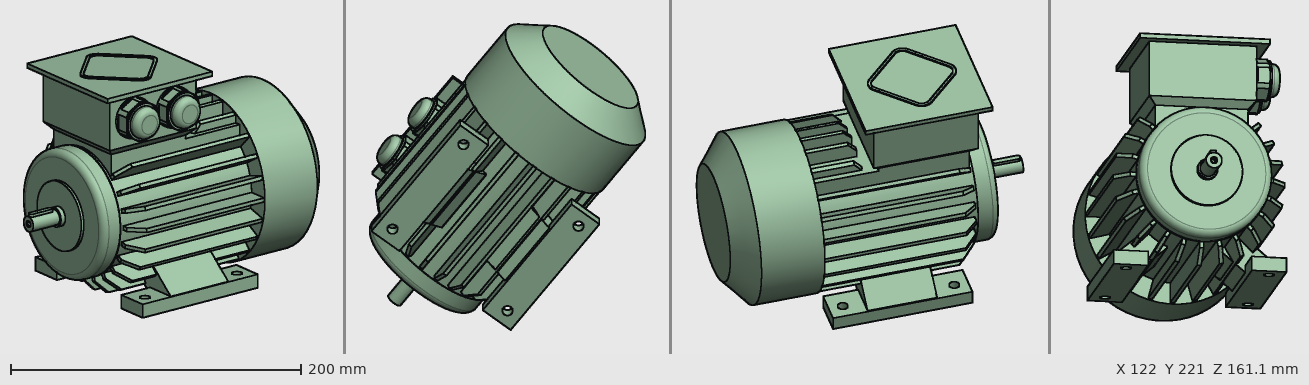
import cadquery as cq
import math

overall_length = 221.0

shaft_diameter = 11.0
shaft_end = 23.0
collar_diameter = 14.0
collar_end = 26.7
spigot_diameter = 50.0
spigot_end = 29.0
shield_diameter = 93.0
shield_end = 44.5
shield_fillet = 5.0
centre_hole_diameter = 3.3
centre_hole_depth = 4.5
centre_hole_mouth_diameter = 4.6
key_width = 4.0
key_start = 0.7
key_end = 20.8
key_top = 7.3

body_diameter = 92.0
fin_front = 46.9
fin_tip_radius = 60.1
fin_width = 2.9
fin_chamfer = 10.0
fin_pitch_angle = 15
fin_first_angle = -225
fin_last_angle = 45

top_fin_offsets = (-26.7, -12.0, 0, 12.0, 26.7)
top_fin_front = 122.0
top_fin_chamfer = 6.0

cowl_diameter = 122.0
cowl_front = 158.7
cowl_cone_start = 204.2
cowl_rear_diameter = 83.0

pad_top = 47.3
neck_size = 65.0
box_centre_y = fin_front + neck_size / 2
neck_top = 50.0
box_size = 75.1
box_bottom = 55.2
lid_size = 91.0
lid_bottom = 94.0
lid_top = 97.2
badge_centre_y = 78.5
badge_size = 49.0
badge_corner_radius = 8.0
badge_line_width = 2.2
badge_height = 0.9

gland_pitch = 35.1
gland_z = 75.4
gland_base_end = 39.5
nut_end = 48.2
nut_across_flats = 27.2
nut_corner_diameter = 29.5
washer_end = 49.7
washer_diameter = 27.0
cap_end = 56.4
cap_diameter = 23.2
cap_fillet = 4.9

foot_outer_x = 60.5
foot_width = 24.3
foot_length = 100.1
foot_centre_y = 102.8
foot_bottom = -63.0
foot_height = 10.0
foot_hole_diameter = 7.0
foot_hole_spacing_x = 100.1
foot_hole_spacing_y = 80.0
leg_length = 50.0
leg_root_x = 31.0
leg_root_z = -29.0
leg_slope_angle = 40
leg_embed = 17.7


def disc_y(diameter, start, end):
    """Cylinder on the shaft axis between two Y positions."""
    return cq.Workplane("XZ", origin=(0, start, 0)).circle(diameter / 2).extrude(start - end)


def square_block(size, centre_y, bottom, top):
    """Upright square block between two heights, centred on X = 0."""
    base = cq.Workplane("XY", origin=(0, centre_y, bottom))
    return base.rect(size, size).extrude(top - bottom)


def make_shaft():
    shaft = disc_y(shaft_diameter, 0, shaft_end)
    shaft = shaft.union(disc_y(collar_diameter, shaft_end, collar_end))
    key_length = key_end - key_start
    key = (
        cq.Workplane("XY", origin=(0, (key_start + key_end) / 2, 0))
        .slot2D(key_length, key_width, 90)
        .extrude(key_top)
    )
    mouth_radius = centre_hole_mouth_diameter / 2
    hole_radius = centre_hole_diameter / 2
    mouth_depth = mouth_radius - hole_radius
    centre_hole = (
        cq.Workplane("XY")
        .polyline([
            (0, 0),
            (mouth_radius, 0),
            (hole_radius, mouth_depth),
            (hole_radius, centre_hole_depth),
            (0, centre_hole_depth),
        ])
        .close()
        .revolve(360, (0, 0, 0), (0, 1, 0))
    )
    return shaft.union(key).cut(centre_hole)


def make_end_shield():
    shield = disc_y(shield_diameter, spigot_end, shield_end)
    shield = shield.faces("<Y").edges().fillet(shield_fillet)
    return shield.union(disc_y(spigot_diameter, collar_end, spigot_end))


def make_cowl():
    cylinder_radius = cowl_diameter / 2
    return (
        cq.Workplane("XY")
        .polyline([
            (0, cowl_front),
            (cylinder_radius, cowl_front),
            (cylinder_radius, cowl_cone_start),
            (cowl_rear_diameter / 2, overall_length),
            (0, overall_length),
        ])
        .close()
        .revolve(360, (0, 0, 0), (0, 1, 0))
    )


def fin_outline(front, chamfer):
    """Half-section of a fin, from the shaft axis out to its chamfered tip."""
    return (
        cq.Workplane("XY")
        .polyline([
            (0, front),
            (fin_tip_radius - chamfer, front),
            (fin_tip_radius, front + chamfer),
            (fin_tip_radius, cowl_front),
            (0, cowl_front),
        ])
        .close()
    )


def make_radial_fins():
    fin = fin_outline(fin_front, fin_chamfer).extrude(fin_width / 2, both=True)
    fins = cq.Workplane("XY")
    for angle in range(fin_first_angle, fin_last_angle + 1, fin_pitch_angle):
        fins = fins.union(fin.rotate((0, 0, 0), (0, 1, 0), -angle))
    return fins


def make_top_fins():
    """Upright parallel fins whose tips follow the round fin envelope."""
    fins = cq.Workplane("XY")
    fin_length = cowl_front - top_fin_front
    for offset in top_fin_offsets:
        fin = cq.Workplane("XY").box(fin_width, fin_length, fin_tip_radius, centered=(True, False, False))
        fins = fins.union(fin.translate((offset, top_fin_front, 0)))
    envelope = fin_outline(top_fin_front, top_fin_chamfer).revolve(360, (0, 0, 0), (0, 1, 0))
    return fins.intersect(envelope)


def make_terminal_box():
    pad = cq.Workplane("XY").box(neck_size, cowl_front - fin_front, pad_top, centered=(True, False, False))
    box = pad.translate((0, fin_front, 0))
    box = box.union(square_block(neck_size, box_centre_y, 0, neck_top))
    flare = (
        cq.Workplane("XY", origin=(0, box_centre_y, neck_top))
        .rect(neck_size, neck_size)
        .workplane(offset=box_bottom - neck_top)
        .rect(box_size, box_size)
        .loft(ruled=True)
    )
    box = box.union(flare)
    box = box.union(square_block(box_size, box_centre_y, box_bottom, lid_bottom))
    return box.union(square_block(lid_size, box_centre_y, lid_bottom, lid_top))


def make_badge_frame():
    """Raised round-cornered square outline on the lid, standing on one corner."""
    frame = square_block(badge_size, badge_centre_y, lid_top, lid_top + badge_height)
    frame = frame.edges("|Z").fillet(badge_corner_radius)
    inner_size = badge_size - 2 * badge_line_width
    inner = square_block(inner_size, badge_centre_y, lid_top, lid_top + badge_height)
    inner = inner.edges("|Z").fillet(badge_corner_radius - badge_line_width)
    return frame.cut(inner).rotate((0, badge_centre_y, 0), (0, badge_centre_y, 1), 45)


def make_gland(centre_y):
    def disc_x(diameter, start, end):
        plane = cq.Workplane("YZ", origin=(start, centre_y, gland_z))
        return plane.circle(diameter / 2).extrude(end - start)

    base_start = box_size / 2
    hexagon_diameter = nut_across_flats / math.cos(math.radians(30))
    nut = (
        cq.Workplane("YZ", origin=(gland_base_end, centre_y, gland_z))
        .transformed(rotate=(0, 0, 90))
        .polygon(6, hexagon_diameter)
        .extrude(nut_end - gland_base_end)
    )
    nut = nut.intersect(disc_x(nut_corner_diameter, gland_base_end, nut_end))
    cap = disc_x(cap_diameter, washer_end, cap_end).faces(">X").edges().fillet(cap_fillet)
    gland = disc_x(nut_corner_diameter, base_start, gland_base_end).union(nut)
    gland = gland.union(disc_x(washer_diameter, nut_end, washer_end))
    return gland.union(cap)


def make_right_foot():
    """Foot plate on the +X side with its sloping leg up to the body."""
    foot_top = foot_bottom + foot_height
    foot_inner_x = foot_outer_x - foot_width
    plate = (
        cq.Workplane("XY", origin=(foot_outer_x - foot_width / 2, foot_centre_y, foot_bottom))
        .rect(foot_width, foot_length)
        .extrude(foot_height)
    )
    slope = math.tan(math.radians(leg_slope_angle))
    leg_outer_x = leg_root_x + (leg_root_z - foot_top) / slope
    leg_bottom = foot_top - foot_height / 2
    inner_root_x = foot_inner_x - leg_embed
    leg = (
        cq.Workplane("XZ", origin=(0, foot_centre_y, 0))
        .polyline([
            (leg_outer_x, foot_top),
            (leg_root_x, leg_root_z),
            (inner_root_x, leg_root_z),
            (inner_root_x, leg_bottom + leg_embed * slope),
            (foot_inner_x, leg_bottom),
            (leg_outer_x, leg_bottom),
        ])
        .close()
        .extrude(leg_length / 2, both=True)
    )
    holes = (
        cq.Workplane("XY", origin=(foot_hole_spacing_x / 2, foot_centre_y, foot_bottom))
        .rarray(2.2, foot_hole_spacing_y, 1, 2)
        .circle(foot_hole_diameter / 2)
        .extrude(foot_height)
    )
    return plate.union(leg).cut(holes)


motor = disc_y(body_diameter, shield_end, cowl_front)
motor = motor.union(make_radial_fins())
motor = motor.union(make_top_fins())
motor = motor.union(make_cowl())
motor = motor.union(make_end_shield())
motor = motor.union(make_shaft())
motor = motor.union(make_terminal_box())
motor = motor.union(make_badge_frame())
for side in (-1, 1):
    motor = motor.union(make_gland(box_centre_y + side * gland_pitch / 2))
right_foot = make_right_foot()
motor = motor.union(right_foot)
motor = motor.union(right_foot.mirror("YZ"))

result = motor